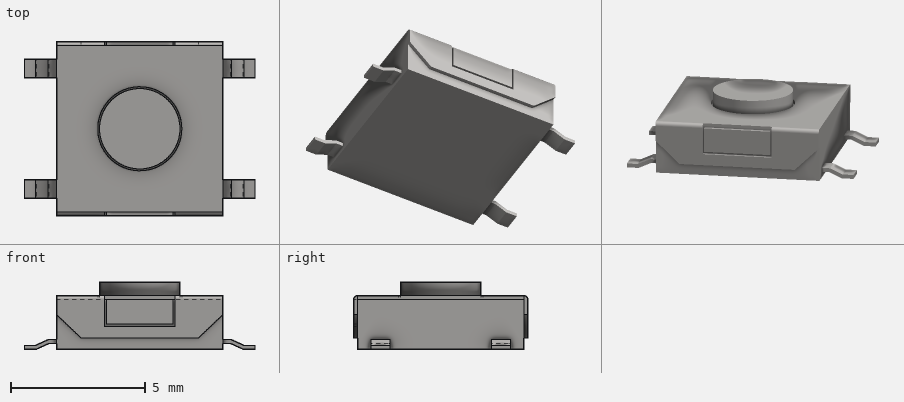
import cadquery as cq
import math

HOUSING_SIDE = 6.2
TOTAL_WIDTH = 8.6
TOTAL_DEPTH = 6.5
SHEET = (TOTAL_DEPTH - HOUSING_SIDE) / 2
COVER_TOP = 2.0
HOUSING_TOP = COVER_TOP - SHEET
HOUSING_HALF = HOUSING_SIDE / 2

BUTTON_DIAMETER = 3.0
BUTTON_TOP = 2.5
BUTTON_CLEARANCE = 0.07
HOLE_DIAMETER = BUTTON_DIAMETER + 2 * BUTTON_CLEARANCE

PLATE_BOTTOM = 0.42
PLATE_CORNER_WIDTH = 0.91
PLATE_CORNER_HEIGHT = 0.87
WINDOW_WIDTH = 2.615
WINDOW_BOTTOM = 0.85

LATCH_SIDE_GAP = 0.06
LATCH_BOTTOM_GAP = 0.095
LATCH_WIDTH = WINDOW_WIDTH - 2 * LATCH_SIDE_GAP
LATCH_BOTTOM = WINDOW_BOTTOM + LATCH_BOTTOM_GAP

LEAD_WIDTH = 0.7
LEAD_PITCH = 4.5
FOOT_LENGTH = 0.41
SLOPE_LENGTH = 0.47
SHOULDER_RISE = 0.215
LEAD_TIP = TOTAL_WIDTH / 2


def box_between(width, y_start, y_end, z_start, z_end):
    """Box centred on X = 0 that spans the given Y and Z ranges."""
    return (
        cq.Workplane("XY")
        .box(width, y_end - y_start, z_end - z_start, centered=(True, False, False))
        .translate((0, y_start, z_start))
    )


def make_housing():
    """Square block with a latch block on its -Y and +Y faces."""
    block = box_between(HOUSING_SIDE, -HOUSING_HALF, HOUSING_HALF, 0, HOUSING_TOP)
    latch_reach = HOUSING_HALF + SHEET
    latches = box_between(LATCH_WIDTH, -latch_reach, latch_reach, LATCH_BOTTOM, HOUSING_TOP)
    return block.union(latches)


def make_top_plate():
    """Flat cover plate on the housing, with the button hole."""
    plate = box_between(HOUSING_SIDE, -HOUSING_HALF, HOUSING_HALF, HOUSING_TOP, COVER_TOP)
    hole = cq.Workplane("XY").workplane(offset=HOUSING_TOP).circle(HOLE_DIAMETER / 2).extrude(SHEET)
    return plate.cut(hole)


def make_front_plate():
    """Side plate on the -Y face: rounded top edge, slanted corners and a window open at the top."""
    corner_x = HOUSING_HALF - PLATE_CORNER_WIDTH
    corner_top = PLATE_BOTTOM + PLATE_CORNER_HEIGHT
    outline = (
        cq.Workplane("XZ", origin=(0, -HOUSING_HALF, 0))
        .moveTo(-HOUSING_HALF, COVER_TOP)
        .lineTo(-HOUSING_HALF, corner_top)
        .lineTo(-corner_x, PLATE_BOTTOM)
        .lineTo(corner_x, PLATE_BOTTOM)
        .lineTo(HOUSING_HALF, corner_top)
        .lineTo(HOUSING_HALF, COVER_TOP)
        .close()
        .extrude(SHEET)
    )
    arc_reach = SHEET * math.sqrt(0.5)
    rounded_section = (
        cq.Workplane("YZ", origin=(-HOUSING_HALF, 0, 0))
        .moveTo(-HOUSING_HALF, 0)
        .lineTo(-HOUSING_HALF, COVER_TOP)
        .threePointArc(
            (-HOUSING_HALF - arc_reach, HOUSING_TOP + arc_reach),
            (-HOUSING_HALF - SHEET, HOUSING_TOP),
        )
        .lineTo(-HOUSING_HALF - SHEET, 0)
        .close()
        .extrude(HOUSING_SIDE)
    )
    window = box_between(WINDOW_WIDTH, -HOUSING_HALF - SHEET, -HOUSING_HALF, WINDOW_BOTTOM, COVER_TOP)
    return outline.intersect(rounded_section).cut(window)


def make_button():
    """Round button standing on the housing, through the hole of the top plate."""
    height = BUTTON_TOP - HOUSING_TOP
    return cq.Workplane("XY").workplane(offset=HOUSING_TOP).circle(BUTTON_DIAMETER / 2).extrude(height)


def make_right_lead():
    """Cranked lead on the +X face, centred on Y = 0, of equal thickness along its length."""
    slope_angle = math.atan2(SHOULDER_RISE, SLOPE_LENGTH)
    bend_shift = SHEET * math.tan(slope_angle / 2)
    foot_bend = LEAD_TIP - FOOT_LENGTH
    shoulder_bend = foot_bend - SLOPE_LENGTH
    return (
        cq.Workplane("XZ")
        .moveTo(LEAD_TIP, 0)
        .lineTo(LEAD_TIP, SHEET)
        .lineTo(foot_bend, SHEET)
        .lineTo(shoulder_bend, SHOULDER_RISE + SHEET)
        .lineTo(HOUSING_HALF, SHOULDER_RISE + SHEET)
        .lineTo(HOUSING_HALF, SHOULDER_RISE)
        .lineTo(shoulder_bend - bend_shift, SHOULDER_RISE)
        .lineTo(foot_bend - bend_shift, 0)
        .close()
        .extrude(LEAD_WIDTH / 2, both=True)
    )


housing = make_housing()
top_plate = make_top_plate()
button = make_button()

front_plate = make_front_plate()
side_plates = [front_plate, front_plate.mirror("XZ")]

right_lead = make_right_lead()
leads = []
for lead in (right_lead, right_lead.mirror("YZ")):
    for y in (-LEAD_PITCH / 2, LEAD_PITCH / 2):
        leads.append(lead.translate((0, y, 0)))

bodies = [housing, top_plate, button, *side_plates, *leads]
result = cq.Compound.makeCompound([body.val() for body in bodies])